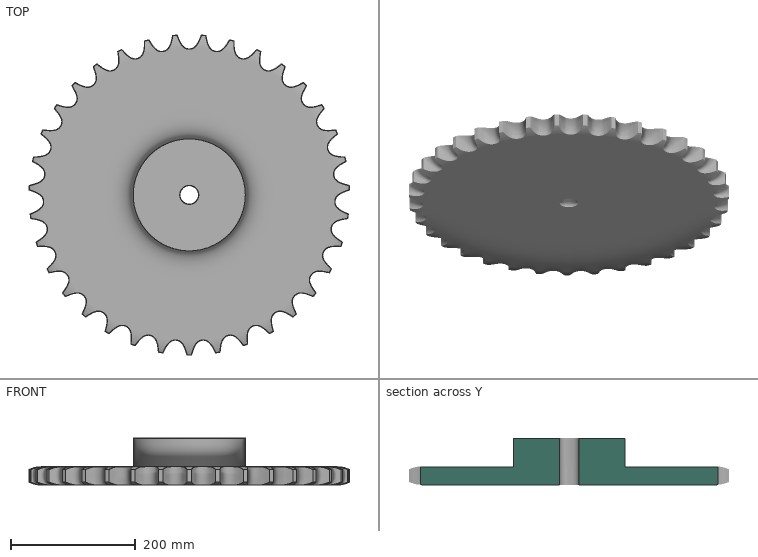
import cadquery as cq
import math

overall_length = 514.0
overall_height = 75.0
plate_thickness = 29.5
hub_diameter = 180.0
bore_diameter = 30.0

tooth_count = 35
pitch_diameter = 496.0
seat_radius = 14.0
seat_half_angle = 55.0
flank_radius = 36.0
flank_bend_radius = 248.5
flank_bend_half_width = 6.0
tip_half_angle = 0.8

relief_start_radius = 236.5
relief_depth = 4.5

pitch_angle = 360.0 / tooth_count
teeth_to_x_axis = round(90.0 / pitch_angle)
x_tooth_offset = teeth_to_x_axis * pitch_angle - 90.0
tip_radius = overall_length / 2 / math.cos(math.radians(x_tooth_offset - tip_half_angle))


def polar(radius, angle):
    """Point at a radius and an angle in degrees, measured from -Y toward +X."""
    turn = math.radians(angle)
    return radius * math.sin(turn), -radius * math.cos(turn)


def seat_point(gap_angle, seat_angle):
    """Point on a roller seat; a seat angle of zero is the bottom of the seat."""
    center_x, center_y = polar(pitch_diameter / 2, gap_angle)
    offset_x, offset_y = polar(seat_radius, gap_angle + 180.0 - seat_angle)
    return center_x + offset_x, center_y + offset_y


def tooth_outline():
    """Closed outline of all teeth, traced counterclockwise."""
    bend_angle = math.degrees(math.asin(flank_bend_half_width / flank_bend_radius))
    outline = cq.Workplane("XY").moveTo(*seat_point(-pitch_angle / 2, seat_half_angle))
    for index in range(tooth_count):
        center = index * pitch_angle
        next_gap = center + pitch_angle / 2
        bend_in = polar(flank_bend_radius, center - bend_angle)
        bend_out = polar(flank_bend_radius, center + bend_angle)
        tip_start = polar(tip_radius, center - tip_half_angle)
        tip_middle = polar(tip_radius, center)
        tip_end = polar(tip_radius, center + tip_half_angle)
        seat_start = seat_point(next_gap, -seat_half_angle)
        seat_bottom = seat_point(next_gap, 0.0)
        seat_end = seat_point(next_gap, seat_half_angle)
        outline = (
            outline.radiusArc(bend_in, flank_radius)
            .lineTo(*tip_start)
            .threePointArc(tip_middle, tip_end)
            .lineTo(*bend_out)
            .radiusArc(seat_start, flank_radius)
            .threePointArc(seat_bottom, seat_end)
        )
    return outline.close()


def blank_disc():
    """Disc of the full tip radius, with both faces curving away toward the rim."""
    relief_width = tip_radius - relief_start_radius
    relief_radius = (relief_width**2 + relief_depth**2) / (2 * relief_depth)
    half_sweep = math.asin(relief_width / relief_radius) / 2
    middle_radius = relief_start_radius + relief_radius * math.sin(half_sweep)
    middle_drop = relief_radius * (1 - math.cos(half_sweep))
    profile = (
        cq.Workplane("XZ")
        .lineTo(relief_start_radius, 0)
        .threePointArc((middle_radius, middle_drop), (tip_radius, relief_depth))
        .lineTo(tip_radius, plate_thickness - relief_depth)
        .threePointArc(
            (middle_radius, plate_thickness - middle_drop),
            (relief_start_radius, plate_thickness),
        )
        .lineTo(0, plate_thickness)
        .close()
    )
    return profile.revolve(360, (0, 0), (0, 1))


def toothed_plate():
    """Rounded disc trimmed to the tooth outline."""
    return blank_disc().intersect(tooth_outline().extrude(plate_thickness))


hub = cq.Workplane("XY").circle(hub_diameter / 2).extrude(overall_height)
bore = cq.Workplane("XY").circle(bore_diameter / 2).extrude(overall_height)

result = toothed_plate().union(hub).cut(bore)